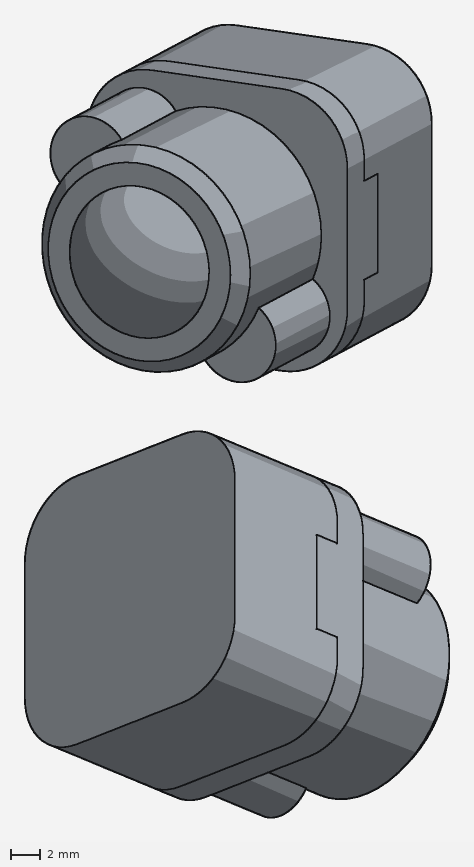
import cadquery as cq
import math

block_side = 20.0
corner_radius = 5.0
base_length = 10.0
cover_thickness = 2.5

tongue_height = 7.0
tongue_depth = 2.0

plunger_radius = 8.0
plunger_length = 11.5
plunger_chamfer = 1.0
key_radius = 3.0
key_length = 8.0
key_angles = (135.0, 315.0)

ball_radius = 6.0
ball_protrusion = 3.3

joint_y = -base_length
cover_front_y = joint_y - cover_thickness
plunger_front_y = cover_front_y - plunger_length
ball_center_y = plunger_front_y - ball_protrusion + ball_radius


def section_at(y):
    """Sketch plane parallel to XZ at station y; extrusions run toward -Y."""
    return cq.Workplane("XZ", origin=(0, y, 0))


def rounded_block(y, length):
    """Square block with rounded corners running from station y toward -Y."""
    block = section_at(y).rect(block_side, block_side).extrude(length)
    return block.edges("|Y").fillet(corner_radius)


def make_tongue():
    """Bar that projects behind the cover into the slot of the base."""
    return section_at(joint_y + tongue_depth).rect(block_side, tongue_height).extrude(tongue_depth)


def make_base():
    return rounded_block(0, base_length).cut(make_tongue())


def make_cover():
    return rounded_block(joint_y, cover_thickness).union(make_tongue())


def make_ball():
    return cq.Workplane("XY", origin=(0, ball_center_y, 0)).sphere(ball_radius)


def make_plunger():
    """Chamfered round plunger with its guide keys and a spherical seat for the ball."""
    plunger = section_at(cover_front_y).circle(plunger_radius).extrude(plunger_length)
    plunger = plunger.faces("<Y").chamfer(plunger_chamfer)
    for angle in key_angles:
        key_x = plunger_radius * math.cos(math.radians(angle))
        key_z = plunger_radius * math.sin(math.radians(angle))
        key = section_at(cover_front_y).center(key_x, key_z).circle(key_radius).extrude(key_length)
        plunger = plunger.union(key)
    return plunger.cut(make_ball())


base = make_base()
cover = make_cover()
plunger = make_plunger()
ball = make_ball()

result = cq.Compound.makeCompound([base.val(), cover.val(), plunger.val(), ball.val()])